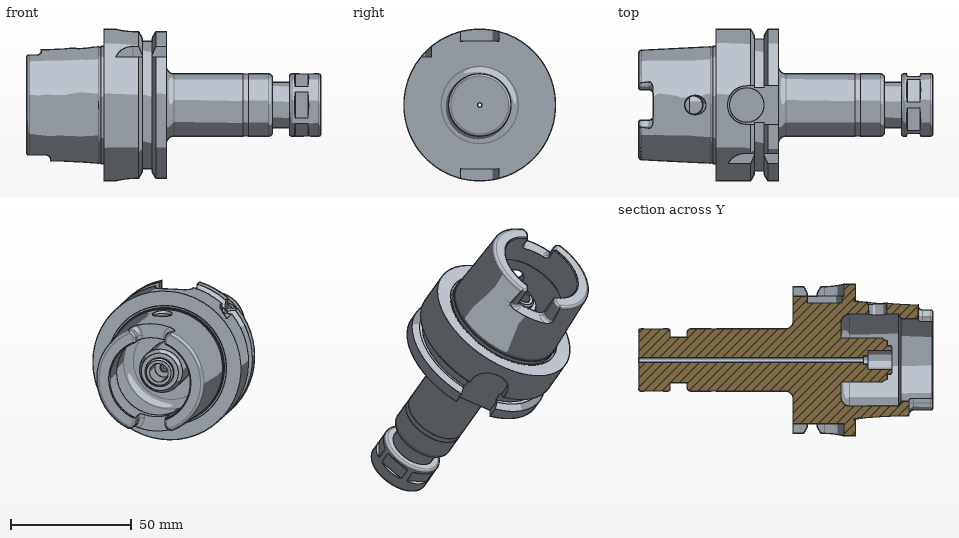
import cadquery as cq
import math


taper_length = 32.0
taper_slope = 1 / 20
gauge_x = -6.3
gauge_radius = 24.0
taper_tip_fillet = 1.2
taper_end_x = -2.2

relief_radius = 24.05
relief_start_x = -1.6
relief_end_x = -1.1
collar_radius = 24.45
face_relief_radius = 25.3
face_relief_depth = 0.5

flange_radius = 31.5
flange_width = 26.0
groove_radius = 27.5
groove_floor_start_x = 16.0
groove_floor_end_x = 20.0
groove_flank_run = 1.55
groove_flank_angle = 60.0

nose_radius = 13.0
nose_root_fillet = 3.0
nose_end_x = 70.0
nose_tip_fillet = 1.8
band_start_x = 57.8
band_end_x = 60.0
band_depth = 0.1
neck_radius = 9.5
nut_start_x = 77.0
nut_end_x = 90.0
nut_radius = 13.0
nut_fillet = 1.0
nut_flat_count = 6
nut_flat_start_x = 79.0
nut_flat_end_x = 85.0
nut_flat_end_slope = 0.4
nut_flat_distance = 11.85

bore_radius = 17.1
bore_chamfer = 0.4
clamp_shoulder_x = -18.8
clamp_shoulder_angle = 60.0
clamp_chamber_radius = 19.0
bore_floor_x = 6.0
bore_floor_fillet = 3.4

spigot_radius = 9.15
spigot_chamfer_drop = 1.25
spigot_chamfer_run = 2.2
spigot_shoulder_x = -10.95
spigot_tip_x = spigot_shoulder_x - spigot_chamfer_run
tube_radius = 12.0 / 2
tube_tip_radius = 10.5 / 2
tube_length = 2.0
tube_tip_x = spigot_tip_x - tube_length

tube_hole_radius = 7.79 / 2
tube_hole_depth = 10.0
jet_mouth_radius = 3.5 / 2
jet_mouth_depth = 12.0
jet_radius = 1.7 / 2

drive_half_width = 6.25
drive_straight_height = 17.8
drive_flare_radius = 3.0
drive_floor_fillet = 1.7
drive_mouth_fillet = 0.9
drive_reach = gauge_radius + 5.0
drive_floor_x_top = -26.0
drive_floor_x_bottom = -22.2

rim_slot_radius = 8.0
rim_slot_center_x = 12.85
rim_slot_floor = 26.5
chip_pocket_radius = 7.15
chip_pocket_depth = 2.8
index_notch_wall_y = -20.1
index_notch_floor_z = 20.0
index_notch_center_x = 12.1
index_notch_radius = 8.0

access_x = -9.0
access_radius = 7.5 / 2
access_mouth_radius = 8.8 / 2
access_mouth_overrun = 0.6
access_tilt = 3.0

clearance = 5.0


def taper_radius(x):
    return gauge_radius + taper_slope * (x - gauge_x)


def revolve_about_x(profile):
    return profile.close().revolve(360, (0, 0, 0), (1, 0, 0))


def cylinder_along_x(radius, start_x, end_x):
    return cq.Workplane("YZ").workplane(offset=start_x).circle(radius).extrude(end_x - start_x)


def cylinder_along_z(radius, x, start_z, end_z):
    return cq.Workplane("XY").workplane(offset=start_z).center(x, 0).circle(radius).extrude(end_z - start_z)


def make_shank():
    tip_radius = taper_radius(-taper_length)
    shank = revolve_about_x(
        cq.Workplane("XY")
        .moveTo(-taper_length, 0)
        .lineTo(-taper_length, tip_radius)
        .lineTo(taper_end_x, taper_radius(taper_end_x))
        .lineTo(relief_start_x, relief_radius)
        .lineTo(relief_end_x, relief_radius)
        .lineTo(relief_end_x, collar_radius)
        .lineTo(face_relief_depth, collar_radius)
        .lineTo(face_relief_depth, 0)
    )
    return shank.faces("<X").edges().fillet(taper_tip_fillet)


def make_flange():
    flank_drop = groove_flank_run * math.tan(math.radians(groove_flank_angle))
    flank_foot_radius = flange_radius - flank_drop
    return revolve_about_x(
        cq.Workplane("XY")
        .moveTo(face_relief_depth, 0)
        .lineTo(face_relief_depth, face_relief_radius)
        .lineTo(0, face_relief_radius)
        .lineTo(0, flange_radius)
        .lineTo(groove_floor_start_x - groove_flank_run, flange_radius)
        .lineTo(groove_floor_start_x, flank_foot_radius)
        .lineTo(groove_floor_start_x, groove_radius)
        .lineTo(groove_floor_end_x, groove_radius)
        .lineTo(groove_floor_end_x, flank_foot_radius)
        .lineTo(groove_floor_end_x + groove_flank_run, flange_radius)
        .lineTo(flange_width, flange_radius)
        .lineTo(flange_width, 0)
    )


def make_nose():
    nose = revolve_about_x(
        cq.Workplane("XY")
        .moveTo(flange_width, 0)
        .lineTo(flange_width, nose_radius + nose_root_fillet)
        .radiusArc((flange_width + nose_root_fillet, nose_radius), -nose_root_fillet)
        .lineTo(band_start_x, nose_radius)
        .lineTo(band_start_x, nose_radius - band_depth)
        .lineTo(band_end_x, nose_radius - band_depth)
        .lineTo(band_end_x, nose_radius)
        .lineTo(nose_end_x, nose_radius)
        .lineTo(nose_end_x, 0)
    )
    return nose.faces(">X").edges().fillet(nose_tip_fillet)


def make_nut():
    nut = cylinder_along_x(nut_radius, nut_start_x, nut_end_x)
    nut = nut.faces("<X or >X").edges().fillet(nut_fillet)
    flat_cutter = (
        cq.Workplane("XY")
        .moveTo(nut_flat_start_x, nut_radius)
        .lineTo(nut_flat_start_x + nut_flat_end_slope, nut_flat_distance)
        .lineTo(nut_flat_end_x - nut_flat_end_slope, nut_flat_distance)
        .lineTo(nut_flat_end_x, nut_radius)
        .close()
        .extrude(nut_radius, both=True)
    )
    for index in range(nut_flat_count):
        angle = 360 / nut_flat_count * index
        nut = nut.cut(flat_cutter.rotate((0, 0, 0), (1, 0, 0), angle))
    return nut


def make_bore():
    """Clamping bore, with the spigot and coolant tube left standing on its floor."""
    shoulder_rise = clamp_chamber_radius - bore_radius
    shoulder_run = shoulder_rise / math.tan(math.radians(clamp_shoulder_angle))
    chamber_fillet_start_x = bore_floor_x - bore_floor_fillet
    bore = revolve_about_x(
        cq.Workplane("XY")
        .moveTo(-taper_length, 0)
        .lineTo(-taper_length, bore_radius + bore_chamfer)
        .lineTo(-taper_length + bore_chamfer, bore_radius)
        .lineTo(clamp_shoulder_x, bore_radius)
        .lineTo(clamp_shoulder_x + shoulder_run, clamp_chamber_radius)
        .lineTo(chamber_fillet_start_x, clamp_chamber_radius)
        .radiusArc((bore_floor_x, clamp_chamber_radius - bore_floor_fillet), bore_floor_fillet)
        .lineTo(bore_floor_x, 0)
    )
    tube_chamfer = tube_radius - tube_tip_radius
    spigot = revolve_about_x(
        cq.Workplane("XY")
        .moveTo(tube_tip_x, 0)
        .lineTo(tube_tip_x, tube_tip_radius)
        .lineTo(tube_tip_x + tube_chamfer, tube_radius)
        .lineTo(spigot_tip_x, tube_radius)
        .lineTo(spigot_tip_x, spigot_radius - spigot_chamfer_drop)
        .lineTo(spigot_shoulder_x, spigot_radius)
        .lineTo(bore_floor_x, spigot_radius)
        .lineTo(bore_floor_x, 0)
    )
    return bore.cut(spigot)


def make_coolant_passage():
    tube_hole = cylinder_along_x(tube_hole_radius, tube_tip_x, tube_tip_x + tube_hole_depth)
    jet_mouth = cylinder_along_x(jet_mouth_radius, tube_tip_x, tube_tip_x + jet_mouth_depth)
    jet = cylinder_along_x(jet_radius, tube_tip_x, nut_end_x)
    return tube_hole.union(jet_mouth).union(jet)


def make_drive_lands(floor_x):
    """Block on the +Z side, shaped like the two lands that stand beside a drive slot.

    The side walls flare into a flat that runs straight out sideways.
    """
    flat_height = drive_straight_height + drive_flare_radius
    flare_half_width = drive_half_width + drive_flare_radius
    slot = (
        cq.Workplane("YZ", origin=(-taper_length, 0, 0))
        .moveTo(-drive_half_width, 0)
        .lineTo(-drive_half_width, drive_straight_height)
        .radiusArc((-flare_half_width, flat_height), -drive_flare_radius)
        .lineTo(-drive_reach, flat_height)
        .lineTo(-drive_reach, drive_reach)
        .lineTo(drive_reach, drive_reach)
        .lineTo(drive_reach, flat_height)
        .lineTo(flare_half_width, flat_height)
        .radiusArc((drive_half_width, drive_straight_height), -drive_flare_radius)
        .lineTo(drive_half_width, 0)
        .close()
        .extrude(floor_x + taper_length)
    )
    floor_edges = slot.faces(">X").edges("not(<Z or >Z or <Y or >Y)")
    slot = floor_edges.fillet(drive_floor_fillet)
    lands = make_drive_block(floor_x).cut(slot)
    return lands.faces("<X").edges("not(<Z or <Y or >Y)").fillet(drive_mouth_fillet)


def make_drive_block(floor_x):
    return cq.Workplane("XY").box(
        floor_x + taper_length, 2 * drive_reach, drive_reach, centered=(False, True, False)
    ).translate((-taper_length, 0, 0))


def make_drive_slot(floor_x):
    return make_drive_block(floor_x).cut(make_drive_lands(floor_x))


def make_rim_slot():
    """Round-ended slot on the +Z side, open towards the nose."""
    height = flange_radius + clearance - rim_slot_floor
    length = flange_width - rim_slot_center_x
    slot = cylinder_along_z(rim_slot_radius, rim_slot_center_x, rim_slot_floor, rim_slot_floor + height)
    run_out = cq.Workplane("XY").box(
        length, 2 * rim_slot_radius, height, centered=(False, True, False)
    ).translate((rim_slot_center_x, 0, rim_slot_floor))
    return slot.union(run_out)


def make_index_notch():
    """Square corner notch on the -Y, +Z side, with one end rounded."""
    height = flange_radius - index_notch_floor_z
    width = 2 * index_notch_radius
    notch = (
        cq.Workplane("XY", origin=(0, index_notch_wall_y - index_notch_radius, index_notch_floor_z))
        .center(index_notch_center_x, 0)
        .circle(index_notch_radius)
        .extrude(height)
    )
    run_out = cq.Workplane("XY").box(
        flange_width - index_notch_center_x, width, height, centered=(False, False, False)
    ).translate((index_notch_center_x, index_notch_wall_y - width, index_notch_floor_z))
    return notch.union(run_out)


def make_access_hole():
    surface_z = taper_radius(access_x)
    mouth_depth = access_mouth_radius - access_radius
    hole = cylinder_along_z(access_radius, access_x, bore_radius - clearance, surface_z + clearance)
    mouth = (
        cq.Workplane("XY", origin=(access_x, 0, surface_z - mouth_depth))
        .circle(access_radius)
        .workplane(offset=mouth_depth + access_mouth_overrun)
        .circle(access_mouth_radius + access_mouth_overrun)
        .loft()
    )
    pivot = (access_x, 0, surface_z)
    return hole.union(mouth).rotate(pivot, (access_x, 1, surface_z), access_tilt)


neck = cylinder_along_x(neck_radius, nose_end_x, nut_start_x)
body = make_shank().union(make_flange()).union(make_nose()).union(neck).union(make_nut())
body = body.cut(make_bore())

half_turn = ((0, 0, 0), (1, 0, 0), 180)
body = body.cut(make_drive_slot(drive_floor_x_top))
body = body.cut(make_drive_slot(drive_floor_x_bottom).rotate(*half_turn))

rim_slot = make_rim_slot()
chip_pocket = cylinder_along_z(
    chip_pocket_radius, rim_slot_center_x, rim_slot_floor - chip_pocket_depth, rim_slot_floor
)
body = body.cut(rim_slot).cut(rim_slot.rotate(*half_turn)).cut(chip_pocket)
body = body.cut(make_index_notch())
body = body.cut(make_access_hole())
result = body.cut(make_coolant_passage())